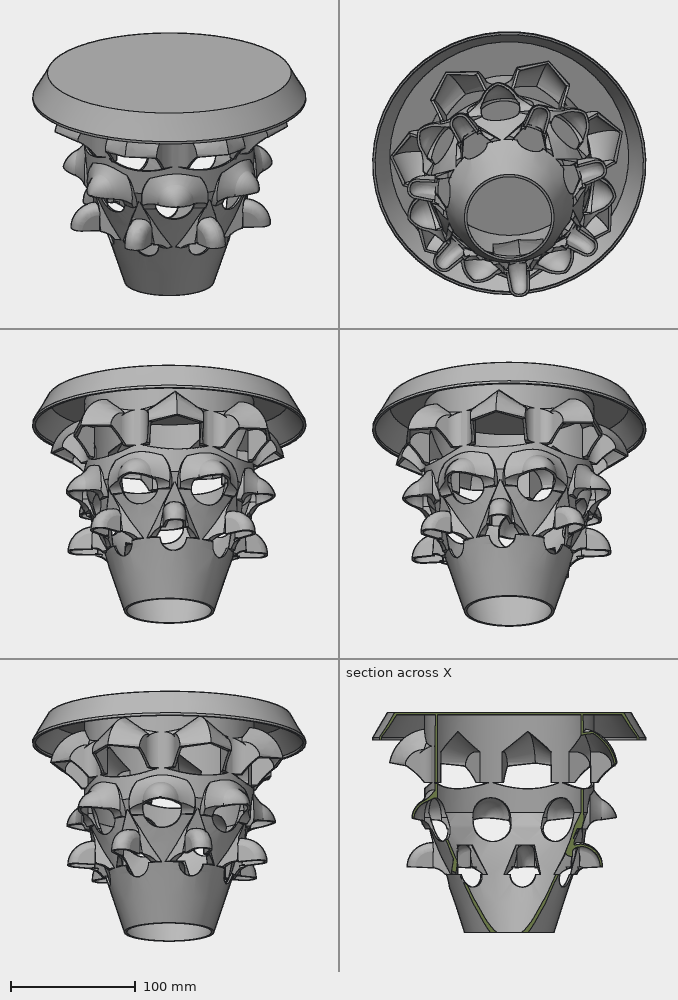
import cadquery as cq
import math


HOODS_PER_RING = 7
PITCH = 360 / HOODS_PER_RING
FRONT = -90
WALL = 2.0
CORE_RADIUS = 56.2

HEIGHT = 176.4
CAP_RADIUS = 109.5
CAP_TOP_RADIUS = 97.5
CAP_BOTTOM = 154.3
CAP_RIM_HEIGHT = 2.0

FOOT_RADIUS = 35.9
TOWER_RADIUS = 67.8
CONE_TOP = 96.3

GABLE_LIP_RADIUS = 95.8
GABLE_LIP_Z = 136.0
GABLE_RIDGE_Z = 163.0
GABLE_HALF_WIDTH = 22.0
GABLE_CORNER_RADIUS = 83.2
GABLE_EAVE_Z = 146.5
GABLE_FOOT_Z = 120.1
GABLE_FLARE_HALF_WIDTH = 27.0
GABLE_FLARE_RADIUS = 71.3
GABLE_FLARE_INNER_EAVE_Z = 154.5
GABLE_FLARE_INNER_RIDGE_Z = 168.3
GABLE_FLARE_TIP_EAVE_Z = 141.5
GABLE_FLARE_TIP_RIDGE_Z = 155.4
GABLE_FLARE_HOLLOW = 1.8
GABLE_CROWN_OUT = 0.83
GABLE_CROWN_UP = 0.45
GABLE_SILL_Z = 115.3
GABLE_UNDER_BEND = (82.3, 133.5)
GABLE_UNDER_MIDDLE = (76.0, 128.7)
GABLE_UNDER_FOOT = (TOWER_RADIUS, GABLE_FOOT_Z)

DOME_AXIS_Z = 92.5
DOME_LIP_RADIUS = 86.0
DOME_LIP_Z = 92.1
DOME_BASE_RADIUS = 26.7
DOME_BASE_START = 64.8
DOME_SKIRT_MIDDLE = (69.0, 20.1)
DOME_SKIRT_END = (74.0, 14.5)
DOME_CROWN_MIDDLE = (81.5, 8.8)
DOME_CAVITY_SHOULDER = (72.6, 12.7)
DOME_CAVITY_MIDDLE = (79.9, 7.5)
DOME_UNDER_BEND = (72.2, 90.2)
DOME_UNDER_MIDDLE = (65.5, 87.7)
DOME_UNDER_FOOT = (62.5, 83.2)
DOME_HOLE_SPRING_Z = 87.5
DOME_HOLE_HALF_WIDTH = 15.5
DOME_HOLE_BOTTOM = 73.0

FIN_START = 44.2
FIN_LIP_RADIUS = 81.8
FIN_LIP_Z = 52.7
FIN_TOP_Z = 72.2
FIN_ROOT_RADIUS = 61.0
FIN_NOSE_HALF_WIDTH = 7.7
FIN_ROOT_HALF_WIDTH = 12.5
FIN_NOSE_ROUND = 7.5
FIN_NOSE_ROOT_HALF_WIDTH = 9.2
FIN_BASE_HALF_WIDTH = 21.0
FIN_BASE_RADIUS = 47.0
FIN_FOOT_Z = 46.5
FIN_APEX_Z = 88.5
FIN_APEX_RADIUS = 65.2
FIN_HOLE_HALF_WIDTH = 10.7
FIN_HOLE_BOTTOM = 36.5
FIN_HOLE_SPRING_Z = 48.1
FIN_UNDER_BEND = (62.0, 51.9)
FIN_UNDER_MIDDLE = (55.4, 50.1)
FIN_UNDER_FOOT = (51.2, FIN_FOOT_Z)
FIN_SHOULDER_RADIUS = 58.0
FIN_SHOULDER_WIDENING = 1.8
FIN_APEX_HALF_WIDTH = 0.5

TRIM_MARGIN = 11


def ring(hood, first_angle):
    """Copies one hood around the tower axis."""
    copies = []
    for index in range(HOODS_PER_RING):
        turned = hood.rotate((0, 0, 0), (0, 0, 1), first_angle + index * PITCH)
        copies.append(turned.val())
    return cq.Compound.makeCompound(copies)


def below_lip(lip_radius, lip_z, bend, bulge, foot):
    """Space under a hood: flat below the lip, then curving down to the tower wall."""
    outside = lip_radius + TRIM_MARGIN
    floor = foot[1] - 2 * TRIM_MARGIN
    return (
        cq.Workplane("XZ")
        .moveTo(0, floor)
        .lineTo(outside, floor)
        .lineTo(outside, lip_z)
        .lineTo(lip_radius, lip_z)
        .lineTo(*bend)
        .threePointArc(bulge, foot)
        .lineTo(0, foot[1])
        .close()
        .extrude(CAP_RADIUS, both=True)
    )


def wall_hole(half_width, bottom, spring_z, top, reach):
    """Radial hole with a half-elliptical lower end."""
    return (
        cq.Workplane("YZ", origin=(FOOT_RADIUS / 2, 0, 0))
        .moveTo(-half_width, top)
        .lineTo(-half_width, spring_z)
        .ellipseArc(half_width, spring_z - bottom, 180, 360, startAtCurrent=True)
        .lineTo(half_width, top)
        .close()
        .extrude(reach - FOOT_RADIUS / 2)
    )


def cap():
    def dish(inset, top):
        return (
            cq.Workplane("XZ")
            .moveTo(0, CAP_BOTTOM)
            .lineTo(CAP_RADIUS - inset, CAP_BOTTOM)
            .lineTo(CAP_RADIUS - inset, CAP_BOTTOM + CAP_RIM_HEIGHT)
            .lineTo(CAP_TOP_RADIUS - inset, top)
            .lineTo(0, top)
            .close()
            .revolve(360, (0, 0, 0), (0, 1, 0))
        )

    return dish(0, HEIGHT).cut(dish(WALL, HEIGHT - WALL))


def tower(inset, top):
    return (
        cq.Workplane("XZ")
        .lineTo(FOOT_RADIUS - inset, 0)
        .lineTo(TOWER_RADIUS - inset, CONE_TOP)
        .lineTo(TOWER_RADIUS - inset, top)
        .lineTo(0, top)
        .close()
        .revolve(360, (0, 0, 0), (0, 1, 0))
    )


def gable_body(inset):
    """Hood with upright cheeks and two curved roof panels that meet at a central ridge."""
    half_width = GABLE_HALF_WIDTH - inset
    bottom = GABLE_FOOT_Z - TRIM_MARGIN
    sections = (
        (-half_width, GABLE_CORNER_RADIUS, GABLE_EAVE_Z),
        (0, GABLE_LIP_RADIUS, GABLE_RIDGE_Z),
        (half_width, GABLE_CORNER_RADIUS, GABLE_EAVE_Z),
    )
    wires = []
    for offset, lip, roof in sections:
        lip_radius = lip - inset
        roof_z = roof - inset
        crown = (
            TOWER_RADIUS + GABLE_CROWN_OUT * (lip_radius - TOWER_RADIUS),
            GABLE_LIP_Z + GABLE_CROWN_UP * (roof_z - GABLE_LIP_Z),
        )
        wire = (
            cq.Workplane("XZ", origin=(0, offset, 0))
            .moveTo(CORE_RADIUS, bottom)
            .lineTo(lip_radius, bottom)
            .lineTo(lip_radius, GABLE_LIP_Z)
            .threePointArc(crown, (TOWER_RADIUS, roof_z))
            .lineTo(CORE_RADIUS, roof_z)
            .close()
        )
        wires.append(wire.val())
    halves = [cq.Solid.makeLoft(wires[i:i + 2], True) for i in range(2)]
    return cq.Workplane(halves[0]).union(cq.Workplane(halves[1]))


def gable_flare():
    """Concave widening where the cheeks meet the tower, under a pitched top."""
    root = math.sqrt(TOWER_RADIUS**2 - GABLE_FLARE_HALF_WIDTH**2)
    middle = (
        (root + GABLE_FLARE_RADIUS - GABLE_FLARE_HOLLOW) / 2,
        (GABLE_FLARE_HALF_WIDTH + GABLE_HALF_WIDTH - GABLE_FLARE_HOLLOW) / 2,
    )
    plan = (
        cq.Workplane("XY", origin=(0, 0, GABLE_FOOT_Z))
        .moveTo(CORE_RADIUS, -GABLE_FLARE_HALF_WIDTH)
        .lineTo(root, -GABLE_FLARE_HALF_WIDTH)
        .threePointArc((middle[0], -middle[1]), (GABLE_FLARE_RADIUS, -GABLE_HALF_WIDTH))
        .lineTo(GABLE_FLARE_RADIUS, GABLE_HALF_WIDTH)
        .threePointArc(middle, (root, GABLE_FLARE_HALF_WIDTH))
        .lineTo(CORE_RADIUS, GABLE_FLARE_HALF_WIDTH)
        .close()
        .extrude(GABLE_RIDGE_Z - GABLE_FOOT_Z)
    )
    gables = []
    for radius, eave_z, ridge_z in (
        (CORE_RADIUS, GABLE_FLARE_INNER_EAVE_Z, GABLE_FLARE_INNER_RIDGE_Z),
        (GABLE_FLARE_RADIUS, GABLE_FLARE_TIP_EAVE_Z, GABLE_FLARE_TIP_RIDGE_Z),
    ):
        gable = cq.Workplane("YZ", origin=(radius, 0, 0)).polyline([
            (-GABLE_FLARE_HALF_WIDTH, GABLE_FOOT_Z),
            (GABLE_FLARE_HALF_WIDTH, GABLE_FOOT_Z),
            (GABLE_FLARE_HALF_WIDTH, eave_z),
            (0, ridge_z),
            (-GABLE_FLARE_HALF_WIDTH, eave_z),
        ])
        gables.append(gable.close().val())
    roof = cq.Workplane(cq.Solid.makeLoft(gables, True))
    return plan.intersect(roof)


def gable_sill():
    """Shallow dip in the tower wall below the opening."""
    return (
        cq.Workplane("YZ", origin=(CORE_RADIUS, 0, 0))
        .moveTo(-GABLE_FLARE_HALF_WIDTH, GABLE_FOOT_Z)
        .threePointArc((0, GABLE_SILL_Z), (GABLE_FLARE_HALF_WIDTH, GABLE_FOOT_Z))
        .close()
        .extrude(GABLE_FLARE_RADIUS - CORE_RADIUS)
    )


gable_under = below_lip(GABLE_LIP_RADIUS, GABLE_LIP_Z, GABLE_UNDER_BEND, GABLE_UNDER_MIDDLE, GABLE_UNDER_FOOT)
gable_hood = gable_body(0).union(gable_flare()).cut(gable_under)
gable_cavity = gable_body(WALL).cut(gable_under).union(gable_sill())


def dome_body():
    """Dome with a concave skirt, turned about a radial axis."""
    return (
        cq.Workplane("XY", origin=(0, 0, DOME_AXIS_Z))
        .moveTo(CORE_RADIUS, 0)
        .lineTo(CORE_RADIUS, DOME_BASE_RADIUS)
        .lineTo(DOME_BASE_START, DOME_BASE_RADIUS)
        .threePointArc(DOME_SKIRT_MIDDLE, DOME_SKIRT_END)
        .threePointArc(DOME_CROWN_MIDDLE, (DOME_LIP_RADIUS, 0))
        .close()
        .revolve(360, (0, 0, 0), (1, 0, 0))
    )


def dome_cavity_body():
    """Round hollow inside a dome."""
    return (
        cq.Workplane("XY", origin=(0, 0, DOME_AXIS_Z))
        .moveTo(CORE_RADIUS, 0)
        .lineTo(CORE_RADIUS, DOME_HOLE_HALF_WIDTH)
        .lineTo(TOWER_RADIUS, DOME_HOLE_HALF_WIDTH)
        .lineTo(*DOME_CAVITY_SHOULDER)
        .threePointArc(DOME_CAVITY_MIDDLE, (DOME_LIP_RADIUS - WALL, 0))
        .close()
        .revolve(360, (0, 0, 0), (1, 0, 0))
    )


dome_under = below_lip(DOME_LIP_RADIUS, DOME_LIP_Z, DOME_UNDER_BEND, DOME_UNDER_MIDDLE, DOME_UNDER_FOOT)
dome_hood = dome_body().cut(dome_under)
dome_hole = wall_hole(DOME_HOLE_HALF_WIDTH, DOME_HOLE_BOTTOM, DOME_HOLE_SPRING_Z, DOME_LIP_Z, TOWER_RADIUS)
dome_cavity = dome_cavity_body().cut(dome_under).union(dome_hole)


def fin_level(z, points):
    """Closed outline at one height from (radius, half width) points on the +Y side."""
    mirrored = [(radius, -half_width) for radius, half_width in reversed(points)]
    return cq.Workplane("XY", origin=(0, 0, z)).polyline(points + mirrored).close().val()


def fin_nose(inset):
    """Upright fin with a quarter-ellipse outline and rounded edges."""
    nose = FIN_NOSE_HALF_WIDTH - inset
    root = FIN_NOSE_ROOT_HALF_WIDTH - inset
    lip_radius = FIN_LIP_RADIUS - inset
    bottom = FIN_FOOT_Z - TRIM_MARGIN
    plan = fin_level(bottom, [(FIN_START, root), (FIN_ROOT_RADIUS, root), (lip_radius, nose)])
    fin = cq.Workplane(cq.Solid.extrudeLinear(plan, [], cq.Vector(0, 0, FIN_TOP_Z - bottom)))
    outline = (
        cq.Workplane("XZ")
        .moveTo(FIN_START, bottom)
        .lineTo(lip_radius, bottom)
        .lineTo(lip_radius, FIN_LIP_Z)
        .ellipseArc(lip_radius - FIN_ROOT_RADIUS, FIN_TOP_Z - inset - FIN_LIP_Z, 0, 90, startAtCurrent=True)
        .lineTo(FIN_START, FIN_TOP_Z - inset)
        .close()
        .extrude(FIN_BASE_HALF_WIDTH, both=True)
    )
    body = fin.intersect(outline)
    nose_space = cq.selectors.BoxSelector(
        (FIN_ROOT_RADIUS + 2.2, -FIN_BASE_HALF_WIDTH, FIN_LIP_Z + 2.2),
        (FIN_LIP_RADIUS, FIN_BASE_HALF_WIDTH, FIN_TOP_Z),
    )
    return body.edges(nose_space).fillet(FIN_NOSE_ROUND - inset)


def fin_base(inset):
    """Buttress that spreads from the fin to the tower wall."""
    nose = FIN_NOSE_HALF_WIDTH - inset
    root = FIN_ROOT_HALF_WIDTH - inset
    base = FIN_BASE_HALF_WIDTH - 3 * inset
    front = FIN_ROOT_RADIUS - inset
    side = nose + FIN_SHOULDER_WIDENING
    foot = fin_level(FIN_FOOT_Z, [(FIN_START, base), (FIN_BASE_RADIUS, base), (front, root)])
    shoulder_points = [(FIN_START, side), (FIN_SHOULDER_RADIUS, side), (front, nose)]
    shoulder = fin_level(FIN_TOP_Z - inset, shoulder_points)
    return cq.Workplane(cq.Solid.makeLoft([foot, shoulder], True))


def fin_peak():
    """Upper part of the buttress, running up the wall to a narrow tip."""
    side = FIN_NOSE_HALF_WIDTH + FIN_SHOULDER_WIDENING
    tip = FIN_APEX_HALF_WIDTH
    shoulder_points = [(FIN_START, side), (FIN_SHOULDER_RADIUS, side), (FIN_ROOT_RADIUS, FIN_NOSE_HALF_WIDTH)]
    apex_points = [(FIN_START, 2 * tip), (FIN_ROOT_RADIUS, 2 * tip), (FIN_APEX_RADIUS, tip)]
    levels = [fin_level(FIN_TOP_Z, shoulder_points), fin_level(FIN_APEX_Z, apex_points)]
    return cq.Workplane(cq.Solid.makeLoft(levels, True))


fin_under = below_lip(FIN_LIP_RADIUS, FIN_LIP_Z, FIN_UNDER_BEND, FIN_UNDER_MIDDLE, FIN_UNDER_FOOT)
fin_hood = fin_nose(0).union(fin_base(0)).union(fin_peak()).cut(fin_under)
fin_hole = wall_hole(FIN_HOLE_HALF_WIDTH, FIN_HOLE_BOTTOM, FIN_HOLE_SPRING_Z, FIN_LIP_Z, FIN_ROOT_RADIUS)
fin_cavity = fin_nose(WALL).union(fin_base(WALL)).cut(fin_under).union(fin_hole)


hoods_and_cavities = (
    (gable_hood, gable_cavity, FRONT),
    (dome_hood, dome_cavity, FRONT + PITCH / 2),
    (fin_hood, fin_cavity, FRONT),
)
result = cap().union(tower(0, HEIGHT))
for hood, _, first_angle in hoods_and_cavities:
    result = result.union(cq.Workplane(ring(hood, first_angle)))
result = result.cut(tower(WALL, HEIGHT - WALL))
for _, cavity, first_angle in hoods_and_cavities:
    result = result.cut(cq.Workplane(ring(cavity, first_angle)))